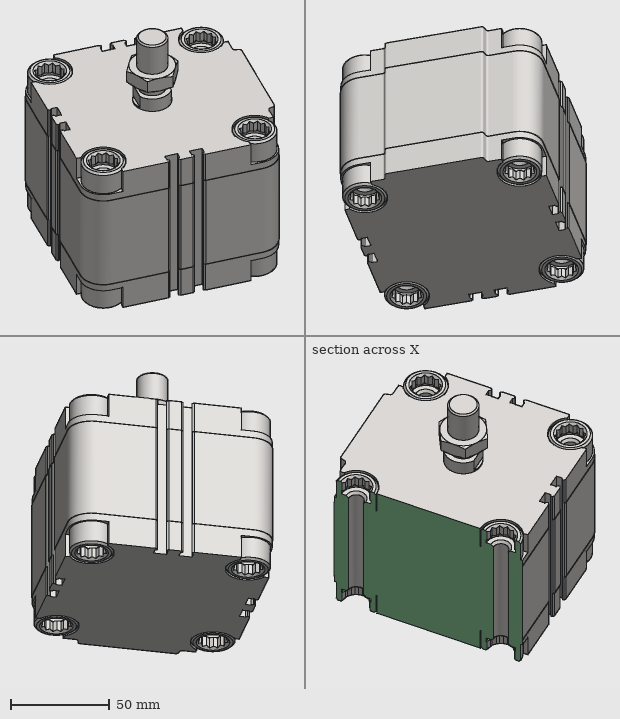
import cadquery as cq
import math

body_width = 107.0
half_width = body_width / 2
body_height = 86.0
cap_height = 16.5
cap_inset = 0.3
bolt_offset = 41.0
corner_radius = half_width - bolt_offset

pad_height = 4.0
pad_base_half_width = 27.0
pad_top_half_width = 25.8
pad_round = 1.3

slot_offset = 6.7
slot_depth = 5.5
slot_half_width = 3.4
mouth_half_width = 2.4
lip_inner_depth = 2.5
lip_straight_depth = 1.6
mouth_chamfer_depth = 0.6

pocket_radius = 11.6
pocket_depth = 12.6
pocket_square = 6.3
head_diameter = 22.7
head_chamfer = 1.1
through_hole_diameter = 8.3
socket_tip_radius = 7.8
socket_points = 12
socket_depth = 6.7
socket_mouth_radius = 8.6
undercut_diameter = 16.5
undercut_height = 2.0
countersink_radius = 5.5

rod_diameter = 20.0
rod_flats = 17.0
flat_start = 87.0
shoulder_height = 93.9
neck_diameter = 14.1
thread_diameter = 16.0
thread_start = 96.8
thread_chamfer = 0.9
rod_top = 126.0

nut_sides = 6
nut_bottom = 100.0
nut_thickness = 8.1
nut_across_flats = 24.0
nut_corner_chamfer = 0.8


margin = 0.6


def disc(diameter, bottom, height):
    """Upright cylinder on the Z axis."""
    return cq.Workplane("XY").workplane(offset=bottom).circle(diameter / 2).extrude(height)


def outline_prism(inset, bottom, height):
    """Rounded square with the raised pad on +Y, every face moved inward by the inset."""
    half = half_width - inset
    square = (
        cq.Workplane("XY").workplane(offset=bottom)
        .rect(2 * half, 2 * half).extrude(height)
        .edges("|Z").fillet(corner_radius - inset)
    )
    pad_top = half + pad_height
    pad = (
        cq.Workplane("XY").workplane(offset=bottom)
        .moveTo(-pad_base_half_width, 0)
        .lineTo(-pad_base_half_width, half)
        .lineTo(-pad_top_half_width, pad_top)
        .lineTo(pad_top_half_width, pad_top)
        .lineTo(pad_base_half_width, half)
        .lineTo(pad_base_half_width, 0)
        .close().extrude(height)
    )
    prism = square.union(pad)
    pad_zone = cq.selectors.BoxSelector(
        (-pad_base_half_width - margin, half - margin, bottom),
        (pad_base_half_width + margin, pad_top + margin, bottom + height),
    )
    return prism.edges("|Z").edges(pad_zone).fillet(pad_round)


def slotted_prism(inset, bottom, height):
    """Outline prism with a pair of T-slots along the -X, -Y and +X faces."""
    prism = outline_prism(inset, bottom, height)
    for side_angle in (-90, 0, 90):
        for offset in (-slot_offset, slot_offset):
            prism = prism.cut(t_slot(inset, side_angle, offset))
    return prism


def t_slot(inset, side_angle, offset):
    """Cutter for one T-slot, chamfered at the inset face; at angle 0 it opens on the -Y face."""
    right_side = [
        (slot_half_width, inset),
        (mouth_half_width, inset + mouth_chamfer_depth),
        (mouth_half_width, lip_straight_depth),
        (slot_half_width, lip_inner_depth),
        (slot_half_width, slot_depth),
    ]
    left_side = [(-x, y) for x, y in reversed(right_side)]
    return (
        cq.Workplane("XY").polyline(right_side + left_side).close().extrude(body_height)
        .translate((offset, -half_width, 0))
        .rotate((0, 0, 0), (0, 0, 1), side_angle)
    )


def corner_pocket():
    """Cutter for the open pocket around a bolt head, for the corner at +X +Y, bolt axis on Z."""
    bottom = body_height - pocket_depth
    pocket_size = pocket_square + corner_radius + margin
    square = cq.Workplane("XY").box(pocket_size, pocket_size, pocket_depth, centered=False)
    square = square.translate((-pocket_square, -pocket_square, bottom))
    return disc(2 * pocket_radius, bottom, pocket_depth).union(square)


def bolt_head():
    """Round head that fills the middle of a corner pocket."""
    head = disc(head_diameter, body_height - pocket_depth, pocket_depth)
    return head.faces(">Z").chamfer(head_chamfer)


def cone(bottom_radius, top_radius, top):
    """45 degree cone that widens upward to the given top level."""
    height = top_radius - bottom_radius
    return cq.Workplane(cq.Solid.makeCone(bottom_radius, top_radius, height, cq.Vector(0, 0, top - height)))


def socket():
    """Cutter for the twelve-point socket, its chamfered mouth, undercut and countersink."""
    half_step = math.pi / socket_points
    valley_radius = socket_tip_radius * math.cos(2 * half_step) / math.cos(half_step)
    star = []
    for i in range(2 * socket_points):
        radius = socket_tip_radius if i % 2 == 0 else valley_radius
        star.append((radius * math.cos(i * half_step), radius * math.sin(i * half_step)))
    floor = body_height - socket_depth - undercut_height
    hole_radius = through_hole_diameter / 2
    return (
        cq.Workplane("XY").workplane(offset=floor)
        .polyline(star).close().extrude(body_height - floor)
        .union(cone(hole_radius, socket_mouth_radius, body_height))
        .union(disc(undercut_diameter, floor, undercut_height))
        .union(cone(hole_radius, countersink_radius, floor))
    )


def both_ends(shape):
    """The shape at the top end together with its mirror image at the bottom end."""
    return [shape, shape.mirror("XY", (0, 0, body_height / 2))]


def at_corner(shape, turn):
    """The shape moved from the Z axis to the +X +Y bolt axis, then turned to its corner."""
    return shape.translate((bolt_offset, bolt_offset, 0)).rotate((0, 0, 0), (0, 0, 1), turn)


def make_housing():
    """Barrel with two slightly smaller end caps, T-slots and a bolt head at each corner of each cap."""
    barrel_height = body_height - 2 * cap_height
    housing = (
        slotted_prism(0, cap_height, barrel_height)
        .union(slotted_prism(cap_inset, 0, cap_height))
        .union(slotted_prism(cap_inset, body_height - cap_height, cap_height))
    )
    pockets = both_ends(corner_pocket())
    heads = both_ends(bolt_head())
    bolt_hole = disc(through_hole_diameter, 0, body_height)
    bores = both_ends(socket()) + [bolt_hole]
    for turn in (0, 90, 180, 270):
        for pocket in pockets:
            housing = housing.cut(at_corner(pocket, turn))
        for head in heads:
            housing = housing.union(at_corner(head, turn))
        for bore in bores:
            housing = housing.cut(at_corner(bore, turn))
    return housing


def make_piston_rod():
    """Rod standing on the upper cap, with wrench flats, neck and threaded end."""
    round_shank = disc(rod_diameter, body_height, flat_start - body_height)
    flat_height = shoulder_height - flat_start
    flat_block = cq.Workplane("XY").workplane(offset=flat_start).rect(rod_diameter, rod_flats)
    flat_block = flat_block.extrude(flat_height)
    flat_shank = disc(rod_diameter, flat_start, flat_height).intersect(flat_block)
    neck = disc(neck_diameter, shoulder_height, thread_start - shoulder_height)
    thread = disc(thread_diameter, thread_start, rod_top - thread_start)
    thread = thread.faces("<Z or >Z").chamfer(thread_chamfer)
    return round_shank.union(flat_shank).union(neck).union(thread)


def make_lock_nut():
    """Hexagon nut with two corners on the Y axis and both ends coned."""
    hexagon_radius = nut_across_flats / math.sqrt(3)
    hexagon = (
        cq.Workplane("XY").workplane(offset=nut_bottom)
        .polygon(nut_sides, 2 * hexagon_radius).extrude(nut_thickness)
        .rotate((0, 0, 0), (0, 0, 1), 180 / nut_sides)
    )
    corner_cut = hexagon_radius - nut_across_flats / 2
    envelope = disc(2 * hexagon_radius, nut_bottom, nut_thickness)
    envelope = envelope.faces("<Z or >Z").chamfer(nut_corner_chamfer, corner_cut)
    bore = disc(thread_diameter, nut_bottom, nut_thickness)
    return hexagon.intersect(envelope).cut(bore)


housing = make_housing()
piston_rod = make_piston_rod()
lock_nut = make_lock_nut()

result = cq.Compound.makeCompound([
    *housing.solids().vals(),
    *piston_rod.solids().vals(),
    *lock_nut.solids().vals(),
])